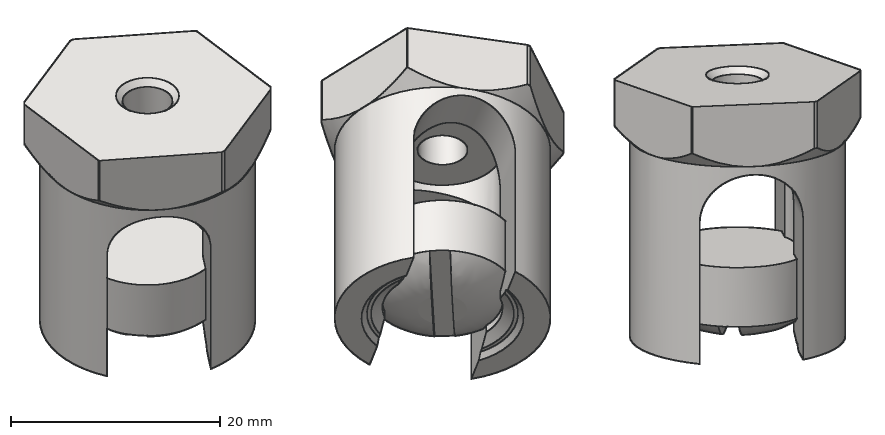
import cadquery as cq
import math

total_height = 26.0
width_across_x = 20.85
across_slanted_flats = 20.6
across_corners = 23.7
head_bottom = 19.8
head_chamfer_angle = 45.0

body_radius = 10.32

slot_angle = -60.0
slot_half_width = 5.0
slot_arch_center = 14.0

bore_radius = 5.75
mouth_outer_radius = 7.75
mouth_depth = 0.52
mouth_floor_radius = 6.85
mouth_cone_top = 1.2

head_hole_radius = 2.4
head_hole_chamfer = 0.62

screw_radius = 7.02
screw_tip = 1.0
screw_tip_radius = 2.35
screw_dome_top = 2.95
screw_dome_mid_radius = 5.2
screw_dome_mid_height = 1.7
screw_top = 8.85
driver_slot_width = 1.98
driver_slot_angle = -75.5


def revolve_about_z(profile):
    """Revolve a closed (radius, height) profile around the Z axis."""
    return profile.close().revolve(360, (0, 0, 0), (0, 1, 0))


def make_head():
    head_height = total_height - head_bottom
    slope = math.tan(math.radians(30))
    half_width = width_across_x / 2
    peak = across_slanted_flats / 2 / math.cos(math.radians(30))
    shoulder = peak - half_width * slope
    corner_radius = across_corners / 2
    chamfer_height = (corner_radius - body_radius) * math.tan(math.radians(head_chamfer_angle))
    hexagon = (
        cq.Workplane("XY")
        .workplane(offset=head_bottom)
        .moveTo(0, peak)
        .lineTo(half_width, shoulder)
        .lineTo(half_width, -shoulder)
        .lineTo(0, -peak)
        .lineTo(-half_width, -shoulder)
        .lineTo(-half_width, shoulder)
        .close()
        .extrude(head_height)
    )
    envelope = revolve_about_z(
        cq.Workplane("XZ")
        .moveTo(0, head_bottom)
        .lineTo(body_radius, head_bottom)
        .lineTo(corner_radius, head_bottom + chamfer_height)
        .lineTo(corner_radius, total_height)
        .lineTo(0, total_height)
    )
    return hexagon.intersect(envelope)


def make_cross_slot():
    """Arched cutter running right through the body."""
    length = 2 * across_corners
    return (
        cq.Workplane("XZ")
        .moveTo(-slot_half_width, 0)
        .lineTo(slot_half_width, 0)
        .lineTo(slot_half_width, slot_arch_center)
        .threePointArc((0, slot_arch_center + slot_half_width), (-slot_half_width, slot_arch_center))
        .close()
        .extrude(length / 2, both=True)
        .rotate((0, 0, 0), (0, 0, 1), slot_angle + 90)
    )


def make_bore():
    """Bore up to the head, with the lead-in and cone at its mouth."""
    return revolve_about_z(
        cq.Workplane("XZ")
        .moveTo(0, 0)
        .lineTo(mouth_outer_radius, 0)
        .lineTo(mouth_outer_radius - mouth_depth, mouth_depth)
        .lineTo(mouth_floor_radius, mouth_depth)
        .lineTo(bore_radius, mouth_cone_top)
        .lineTo(bore_radius, head_bottom)
        .lineTo(0, head_bottom)
    )


def make_head_hole():
    return revolve_about_z(
        cq.Workplane("XZ")
        .moveTo(0, head_bottom)
        .lineTo(head_hole_radius, head_bottom)
        .lineTo(head_hole_radius, total_height - head_hole_chamfer)
        .lineTo(head_hole_radius + head_hole_chamfer, total_height)
        .lineTo(0, total_height)
    )


def make_screw_blank():
    """Grub screw with its domed lower end, before the driver slot."""
    return revolve_about_z(
        cq.Workplane("XZ")
        .moveTo(0, screw_tip)
        .lineTo(screw_tip_radius, screw_tip)
        .threePointArc((screw_dome_mid_radius, screw_dome_mid_height), (screw_radius, screw_dome_top))
        .lineTo(screw_radius, screw_top)
        .lineTo(0, screw_top)
    )


def make_housing():
    body = cq.Workplane("XY").circle(body_radius).extrude(head_bottom)
    solid = body.union(make_head())
    for cutter in (make_cross_slot(), make_bore(), make_head_hole()):
        solid = solid.cut(cutter)
    return solid.cut(make_screw_blank())


def make_screw():
    driver_slot = (
        cq.Workplane("XY")
        .box(2 * screw_radius, driver_slot_width, screw_dome_top, centered=(True, True, False))
        .rotate((0, 0, 0), (0, 0, 1), driver_slot_angle)
    )
    return make_screw_blank().cut(driver_slot)


housing = make_housing()
screw = make_screw()

result = cq.Compound.makeCompound([housing.val(), screw.val()])